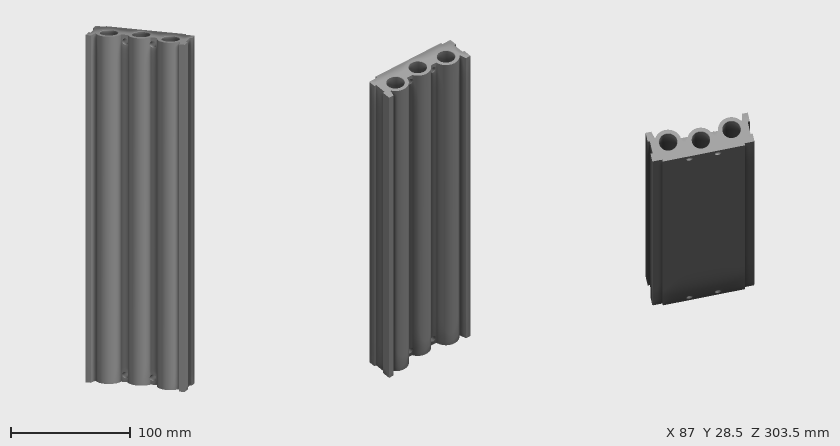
import cadquery as cq

length = 303.5
width = 87.0
depth = 28.5
half_width = width / 2
back = depth / 2
front = -depth / 2

shoulder_width = 8.5
shoulder_depth = 1.8
corner_chamfer = 0.5

groove_depth = 1.8
groove_back = back - 9.0
groove_front = back - 20.3

foot_tip_width = 5.0
foot_root_width = 6.5
foot_root = front + 6.0

web_front = back - 17.5
tube_radius = 11.2
side_tube_x = 27.0
side_tube_y = back - 16.5
middle_tube_y = back - 12.5
tube_centers = [
    (-side_tube_x, side_tube_y),
    (0, middle_tube_y),
    (side_tube_x, side_tube_y),
]

bore_radius = 7.5
mouth_chamfer = 0.3

mount_diameter = 5.5
mount_x = 12.0
mount_end_distance = 6.0


def plate():
    """Central plate: the raised back face and the web, over the full length."""
    plate_width = width - 2 * shoulder_width
    plate_depth = back - web_front
    base = cq.Workplane("XY", origin=(0, (back + web_front) / 2, 0))
    return base.rect(plate_width, plate_depth).extrude(length)


def side_strip(side):
    """Long edge with its shoulder, groove and foot; side is -1 for -X, 1 for +X."""
    outer = half_width
    inner = side_tube_x
    shoulder = back - shoulder_depth
    outline = [
        (inner, shoulder),
        (outer - corner_chamfer, shoulder),
        (outer, shoulder - corner_chamfer),
        (outer, groove_back),
        (outer - groove_depth, groove_back),
        (outer - groove_depth, groove_front),
        (outer, groove_front),
        (outer, front),
        (outer - foot_tip_width, front),
        (outer - foot_root_width, foot_root),
        (inner, foot_root),
    ]
    points = [(side * x, y) for x, y in outline]
    return cq.Workplane("XY").polyline(points).close().extrude(length)


def tubes():
    """Outer bodies of the three tubes."""
    return cq.Workplane("XY").pushPoints(tube_centers).circle(tube_radius).extrude(length)


def bores():
    """Cutter for the through bores, widened by the chamfer at each end."""
    cylinders = cq.Workplane("XY").pushPoints(tube_centers).circle(bore_radius).extrude(length)
    return cylinders.union(bore_mouths(0, 1)).union(bore_mouths(length, -1))


def bore_mouths(end_z, inward):
    """Cones that chamfer the bores at one end; inward is the Z direction into the bar."""
    cones = cq.Workplane("XY")
    for x, y in tube_centers:
        cone = cq.Solid.makeCone(
            bore_radius + mouth_chamfer,
            bore_radius,
            mouth_chamfer,
            pnt=cq.Vector(x, y, end_z),
            dir=cq.Vector(0, 0, inward),
        )
        cones = cones.add(cone)
    return cones


def mounting_holes():
    """Cutter for the four holes running along Y, two near each end."""
    centers = [
        (x, z)
        for x in (-mount_x, mount_x)
        for z in (mount_end_distance, length - mount_end_distance)
    ]
    base = cq.Workplane("XZ", origin=(0, back, 0)).pushPoints(centers)
    return base.circle(mount_diameter / 2).extrude(depth)


body = plate().union(side_strip(-1)).union(side_strip(1)).union(tubes())
result = body.cut(bores()).cut(mounting_holes())